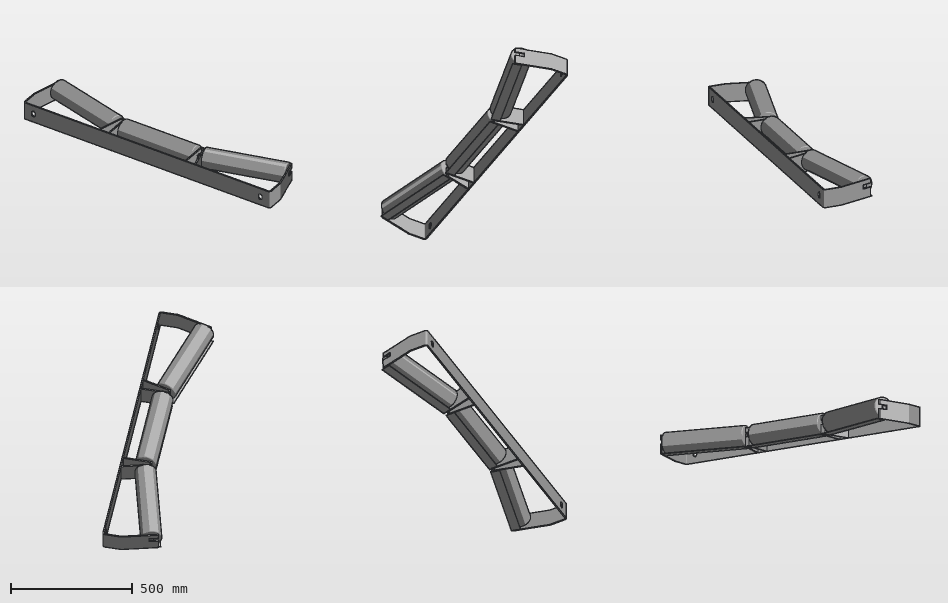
import cadquery as cq
import math

frame_length = 1210.0
tilt = 15.0
roller_top = 98.0

strip_height = 80.0
strip_thickness = 6.0
bend_outer_radius = 11.0
bend_inner_radius = bend_outer_radius - strip_thickness
arm_bend_y = 79.0
arm_tip_y = 226.0

hole_width = 18.0
hole_height = 27.0
hole_x = 557.0

roller_diameter = 88.0
roller_length = 360.0
rim_radius = 5.0
tang_width = 19.0
tang_height = 15.0
middle_roller_y = 98.0
side_roller_x = 390.0
side_roller_y = 150.0

slot_height = 18.0
slot_corner_radius = (slot_height - tang_height) / 2

upright_inner_x = 185.0
tilted_foot_x = 237.0
bridge_y = 126.0

plate_thickness = 3.0
middle_plate_length = 375.0
side_plate_length = 368.0
plate_width = 39.0

half_length = frame_length / 2
lean = math.tan(math.radians(tilt))
tilted_thickness = strip_thickness / math.cos(math.radians(tilt))
inner_half_length = half_length - strip_thickness
arm_inner_bend_y = arm_bend_y - strip_thickness * math.tan(math.radians(tilt / 2))
arm_tip_x = half_length - lean * (arm_tip_y - arm_bend_y)
axis_z = roller_top - roller_diameter / 2
strip_middle_z = plate_thickness + strip_height / 2
tang_span = roller_length + 2 * strip_thickness
slot_cut_span = tang_span + 2 * strip_thickness

left_station = (-side_roller_x, side_roller_y, -tilt)
middle_station = (0, middle_roller_y, 0)
right_station = (side_roller_x, side_roller_y, tilt)
stations = [left_station, middle_station, right_station]


def at_station(body, station):
    """Move a body built around the origin, along X, to a roller station."""
    x, y, turn = station
    return body.rotate((0, 0, 0), (0, 0, 1), turn).translate((x, y, 0))


def make_strip(points):
    """Extrude the plan outline of a bent strip to the strip height."""
    return (
        cq.Workplane("XY", origin=(0, 0, plate_thickness))
        .polyline(points)
        .close()
        .extrude(strip_height)
    )


def slot_cutter():
    """A bar along a roller axis that cuts the tang slots at both of its ends, open toward +Y."""
    depth = arm_tip_y
    return (
        cq.Workplane("XY")
        .box(slot_cut_span, depth, slot_height)
        .edges("|X and <Y").fillet(slot_corner_radius)
        .translate((0, (depth - tang_width) / 2, axis_z))
    )


def make_frame():
    right_side = [
        (half_length, 0),
        (half_length, arm_bend_y),
        (arm_tip_x, arm_tip_y),
        (arm_tip_x - tilted_thickness, arm_tip_y),
        (inner_half_length, arm_inner_bend_y),
        (inner_half_length, strip_thickness),
    ]
    left_side = [(-x, y) for x, y in reversed(right_side)]
    body = make_strip(right_side + left_side)
    bends = [
        (half_length, 0, bend_outer_radius),
        (half_length, arm_bend_y, bend_outer_radius),
        (inner_half_length, strip_thickness, bend_inner_radius),
        (inner_half_length, arm_inner_bend_y, bend_inner_radius),
    ]
    for side in (-1, 1):
        for x, y, radius in bends:
            corner = cq.selectors.NearestToPointSelector((side * x, y, strip_middle_z))
            body = body.edges("|Z").edges(corner).fillet(radius)
    holes = (
        cq.Workplane("XZ", origin=(0, 0, strip_middle_z))
        .pushPoints([(-hole_x, 0), (hole_x, 0)])
        .slot2D(hole_height, hole_width, angle=90)
        .extrude(-2 * strip_thickness)
    )
    body = body.cut(holes)
    for station in (left_station, right_station):
        body = body.cut(at_station(slot_cutter(), station))
    return body


def make_bracket(side):
    bridge_inner_y = bridge_y - strip_thickness
    upright_outer_x = upright_inner_x + strip_thickness

    def tilted_face_x(y):
        return tilted_foot_x - lean * (y - strip_thickness)

    points = [
        (upright_inner_x, strip_thickness),
        (upright_inner_x, bridge_y),
        (tilted_face_x(bridge_y), bridge_y),
        (tilted_foot_x, strip_thickness),
        (tilted_foot_x - tilted_thickness, strip_thickness),
        (tilted_face_x(bridge_inner_y) - tilted_thickness, bridge_inner_y),
        (upright_outer_x, bridge_inner_y),
        (upright_outer_x, strip_thickness),
    ]
    body = make_strip([(side * x, y) for x, y in points])
    side_station = left_station if side < 0 else right_station
    for station in (middle_station, side_station):
        body = body.cut(at_station(slot_cutter(), station))
    return body


def make_roller(station):
    drum = (
        cq.Workplane("YZ", origin=(-roller_length / 2, 0, axis_z))
        .circle(roller_diameter / 2)
        .extrude(roller_length)
        .faces("<X or >X").edges().fillet(rim_radius)
    )
    tangs = cq.Workplane("XY").box(tang_span, tang_width, tang_height).translate((0, 0, axis_z))
    return at_station(drum.union(tangs), station)


def make_plate(station):
    length = middle_plate_length if station == middle_station else side_plate_length
    plate = cq.Workplane("XY").box(length, plate_width, plate_thickness, centered=(True, False, False))
    return at_station(plate, station)


frame = make_frame()
brackets = [make_bracket(side) for side in (-1, 1)]
rollers = [make_roller(station) for station in stations]
plates = [make_plate(station) for station in stations]

result = cq.Compound.makeCompound([body.val() for body in [frame, *brackets, *rollers, *plates]])